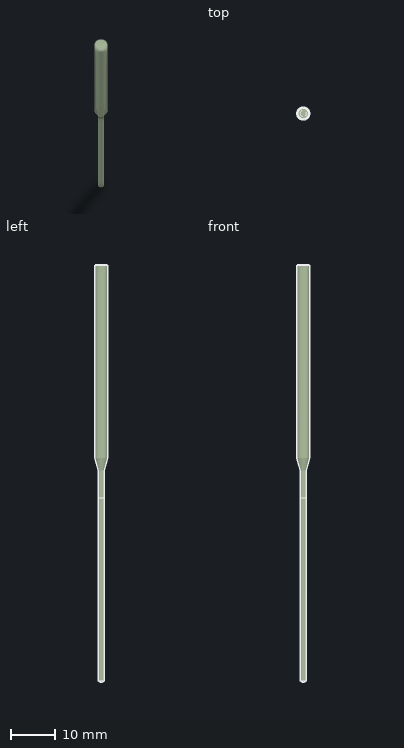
import cadquery as cq
import math


overall_length = 95.0

shank_diameter = 3.0
shank_length = 44.0
end_chamfer = 0.3
taper_length = 2.9
neck_end_from_top = 53.0

rod_diameter = 1.4
point_angle = 120.0

shank_radius = shank_diameter / 2
rod_radius = rod_diameter / 2
point_height = rod_radius / math.tan(math.radians(point_angle / 2))

joint_z = overall_length - neck_end_from_top
taper_top_z = overall_length - shank_length
taper_bottom_z = taper_top_z - taper_length


def revolve_about_z(profile_points):
    """Revolve a closed (radius, z) profile about the Z axis."""
    return (
        cq.Workplane("XZ")
        .polyline(profile_points)
        .close()
        .revolve(360, (0, 0, 0), (0, 1, 0))
    )


def make_shank():
    """Chamfered cylinder that tapers to a straight neck of the rod's diameter."""
    profile = [
        (0, joint_z),
        (rod_radius, joint_z),
        (rod_radius, taper_bottom_z),
        (shank_radius, taper_top_z),
        (shank_radius, overall_length - end_chamfer),
        (shank_radius - end_chamfer, overall_length),
        (0, overall_length),
    ]
    return revolve_about_z(profile)


def make_rod():
    """Straight rod that meets the neck end to end and finishes in a conical point."""
    profile = [
        (0, 0),
        (rod_radius, point_height),
        (rod_radius, joint_z),
        (0, joint_z),
    ]
    return revolve_about_z(profile)


shank = make_shank()
rod = make_rod()

result = cq.Compound.makeCompound([shank.val(), rod.val()])